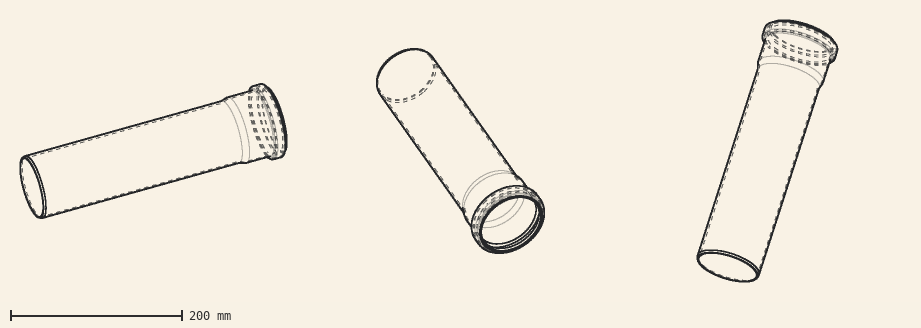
import cadquery as cq
import math

length = 305.0
pipe_diameter = 75.3
bore_diameter = 70.8
socket_diameter = 80.0
socket_bore_diameter = 76.0
bead_diameter = 89.0

bead_start = 2.7
bead_end = 15.5
cone_start = 47.3
cone_end = 55.5

bead_round = 1.98
root_round = 1.2
tip_chamfer_length = 2.7
tip_chamfer_depth = 1.0

pipe_radius = pipe_diameter / 2
bore_radius = bore_diameter / 2
socket_radius = socket_diameter / 2
socket_bore_radius = socket_bore_diameter / 2
bead_radius = bead_diameter / 2
socket_wall = socket_radius - socket_bore_radius
diagonal = math.sqrt(0.5)


def from_mouth(distance):
    """Y position at a distance behind the socket mouth."""
    return length - distance


def make_outer_body():
    """Solid of revolution bounded by the outer surface."""
    bead_front = from_mouth(bead_start)
    bead_back = from_mouth(bead_end)
    round_center = bead_radius - bead_round
    round_reach = round_center + bead_round * diagonal
    round_inset = bead_round * (1 - diagonal)
    root_inset = root_round * (1 - diagonal)
    profile = (
        cq.Workplane("XY")
        .lineTo(pipe_radius - tip_chamfer_depth, 0)
        .lineTo(pipe_radius, tip_chamfer_length)
        .lineTo(pipe_radius, from_mouth(cone_end))
        .lineTo(socket_radius, from_mouth(cone_start))
        .lineTo(socket_radius, bead_back - root_round)
        .threePointArc(
            (socket_radius + root_inset, bead_back - root_inset),
            (socket_radius + root_round, bead_back),
        )
        .lineTo(round_center, bead_back)
        .threePointArc((round_reach, bead_back + round_inset), (bead_radius, bead_back + bead_round))
        .lineTo(bead_radius, bead_front - bead_round)
        .threePointArc((round_reach, bead_front - round_inset), (round_center, bead_front))
        .lineTo(socket_radius + root_round, bead_front)
        .threePointArc(
            (socket_radius + root_inset, bead_front + root_inset),
            (socket_radius, bead_front + root_round),
        )
        .lineTo(socket_radius, length)
        .lineTo(0, length)
        .close()
    )
    return profile.revolve(360, (0, 0, 0), (0, 1, 0))


def make_cavity():
    """Pipe bore, widened socket and the seal groove inside the bead."""
    groove_radius = bead_radius - socket_wall
    groove_front = from_mouth(bead_start + socket_wall)
    groove_back = from_mouth(bead_end - socket_wall)
    profile = (
        cq.Workplane("XY")
        .lineTo(bore_radius, 0)
        .lineTo(bore_radius, from_mouth(cone_end))
        .lineTo(socket_bore_radius, from_mouth(cone_start))
        .lineTo(socket_bore_radius, groove_back)
        .lineTo(groove_radius, groove_back)
        .lineTo(groove_radius, groove_front)
        .lineTo(socket_bore_radius, groove_front)
        .lineTo(socket_bore_radius, length)
        .lineTo(0, length)
        .close()
    )
    return profile.revolve(360, (0, 0, 0), (0, 1, 0))


result = make_outer_body().cut(make_cavity())